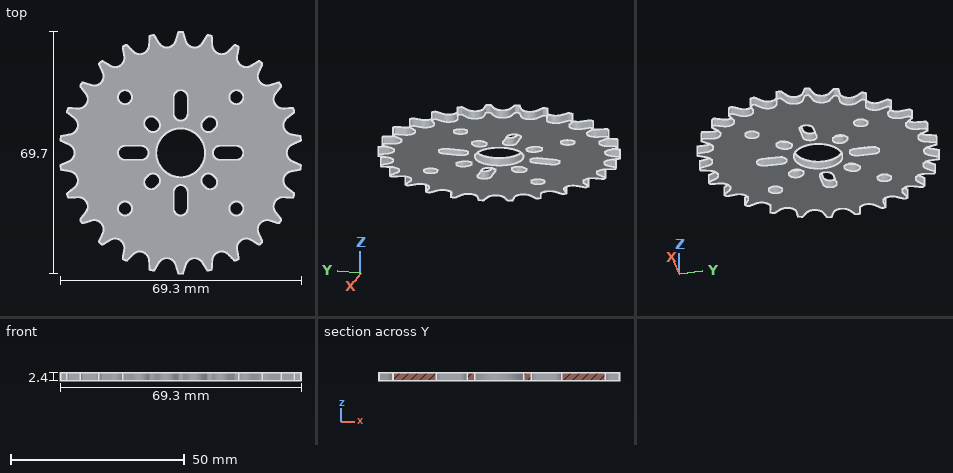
import cadquery as cq
import math

tooth_count = 26
tip_radius = 34.85
thickness = 2.4
pitch_radius = 33.25
seat_radius = 2.65
flank_angle = 24.0
tip_corner_radius = 0.3
tooth_angle = 360.0 / tooth_count

bore_diameter = 14.0
hole_diameter = 4.0
hole_spacing = 16.0
slot_inner_radius = 11.3
short_slot_outer_radius = 12.0


def tooth_gap(angle):
    """Round-bottomed gap with straight flanks that open outward, pointing along the angle."""
    slope = math.radians(flank_angle)
    flank_start_x = pitch_radius - seat_radius * math.sin(slope)
    flank_start_y = seat_radius * math.cos(slope)
    mouth_x = tip_radius + seat_radius
    mouth_y = flank_start_y + (mouth_x - flank_start_x) * math.tan(slope)
    return (
        cq.Workplane("XY")
        .moveTo(mouth_x, -mouth_y)
        .lineTo(flank_start_x, -flank_start_y)
        .threePointArc((pitch_radius - seat_radius, 0), (flank_start_x, flank_start_y))
        .lineTo(mouth_x, mouth_y)
        .close()
        .extrude(thickness)
        .rotate((0, 0, 0), (0, 0, 1), angle)
    )


def radial_slots(inner_radius, outer_radius, first_angle):
    """Four slots a quarter turn apart, given by the radii of their end centres."""
    slot_length = outer_radius - inner_radius + hole_diameter
    return (
        cq.Workplane("XY")
        .polarArray((inner_radius + outer_radius) / 2, first_angle, 360, 4)
        .slot2D(slot_length, hole_diameter)
        .extrude(thickness)
    )


sprocket = cq.Workplane("XY").circle(tip_radius).extrude(thickness)
for index in range(tooth_count):
    sprocket = sprocket.cut(tooth_gap(index * tooth_angle))

tip_corners = [
    edge for edge in sprocket.edges("|Z").vals()
    if math.hypot(edge.Center().x, edge.Center().y) > tip_radius - tip_corner_radius
]
sprocket = sprocket.newObject(tip_corners).fillet(tip_corner_radius)

sprocket = sprocket.cut(cq.Workplane("XY").circle(bore_diameter / 2).extrude(thickness))

outer_holes = (
    cq.Workplane("XY")
    .rect(2 * hole_spacing, 2 * hole_spacing, forConstruction=True)
    .vertices()
    .circle(hole_diameter / 2)
    .extrude(thickness)
)
sprocket = sprocket.cut(outer_holes)

sprocket = sprocket.cut(radial_slots(slot_inner_radius, hole_spacing, 0))
sprocket = sprocket.cut(radial_slots(slot_inner_radius, short_slot_outer_radius, 45))

result = sprocket